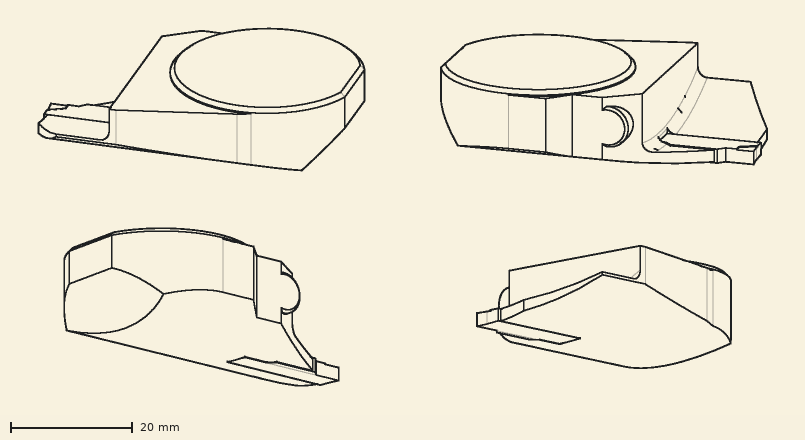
import cadquery as cq
import math

LENGTH = 52.35
WIDTH = 37.0
HEIGHT = 14.0
DISC_RADIUS = 16.0
DISC_X = 37.3
DISC_Y = WIDTH - DISC_RADIUS
DISC_CHAMFER = 0.75

DECK_Z = 13.05
NOSE_X = 0.85
NOSE_LOW_Y = 11.5
NOSE_HIGH_Y = 18.45
FRONT_CORNER_X = 7.45
SIDE_TAPER_START_X = 17.7
SIDE_TAPER_END = (37.15, 4.35)
SIDE_JOIN_X = 39.35
SHOULDER_X = 30.85
LEDGE_Y = 33.55
LEDGE_START_X = 22.2
LEDGE_END_X = 27.35

BELLY_RADIUS = 36.4
BELLY_Z = 0.1
TAIL_BOTTOM_X = 44.85
TAIL_TOP_Z = BELLY_Z + LENGTH - TAIL_BOTTOM_X

WALL_X = 16.55
TRAY_RADIUS = 46.05
TRAY_Z = 2.2
TRAY_FILLET = 1.55

BOSS_X = 21.3
BOSS_Z = 7.95
BOSS_RADIUS = 3.48
BOSS_CHAMFER = 0.45

BLADE_LOW_Y = 16.7
BLADE_HIGH_Y = 21.3
BLADE_END_X = 19.9
BLADE_TOP_Z = 2.4
BLADE_SIDE_Z = 0.3
BLADE_FRONT_X = 0.2
FRONT_BEND_Y = 19.25
LUG_START_X = 4.8
LUG_END_X = 15.15
LUG_HEIGHT = 1.1
RELIEF_END_X = WALL_X - 0.1
CHIP_LENGTH = 2.95
CHIP_SIDE_Y = 19.9
CHIP_POINT_Y = 18.5
CHIP_DEPTH = 0.15


def cylinder_along_x(radius, lowest_z, start_x, end_x):
    """Cylinder centred across the disc, with its lowest line at lowest_z."""
    return (
        cq.Workplane("YZ", origin=(start_x, 0, 0))
        .center(DISC_Y, lowest_z + radius)
        .circle(radius)
        .extrude(end_x - start_x)
    )


def make_disc():
    disc = cq.Workplane("XY").center(DISC_X, DISC_Y).circle(DISC_RADIUS).extrude(HEIGHT)
    beyond_flat = cq.Workplane("XY").box(WIDTH, WIDTH, HEIGHT, centered=False).translate((LENGTH, 0, 0))
    return disc.cut(beyond_flat).faces(">Z").edges().chamfer(DISC_CHAMFER)


def make_deck():
    side_join_y = DISC_Y - math.sqrt(DISC_RADIUS**2 - (SIDE_JOIN_X - DISC_X) ** 2)
    return (
        cq.Workplane("XY")
        .moveTo(NOSE_X, NOSE_HIGH_Y)
        .lineTo(NOSE_X, NOSE_LOW_Y)
        .lineTo(FRONT_CORNER_X, 0)
        .lineTo(SIDE_TAPER_START_X, 0)
        .lineTo(*SIDE_TAPER_END)
        .lineTo(SIDE_JOIN_X, side_join_y)
        .lineTo(DISC_X, DISC_Y)
        .lineTo(DISC_X, WIDTH)
        .lineTo(SHOULDER_X, WIDTH)
        .lineTo(LEDGE_END_X, LEDGE_Y)
        .lineTo(LEDGE_START_X, LEDGE_Y)
        .close()
        .extrude(DECK_Z)
    )


def make_tray_cutter():
    """Cylinder whose rounded end leaves the fillet at the foot of the wall."""
    return cylinder_along_x(TRAY_RADIUS, TRAY_Z, -LENGTH, WALL_X).faces(">X").edges().fillet(TRAY_FILLET)


def make_tail_cutter():
    return (
        cq.Workplane("XZ")
        .polyline([(TAIL_BOTTOM_X, BELLY_Z), (LENGTH, TAIL_TOP_Z), (LENGTH, -HEIGHT), (TAIL_BOTTOM_X, -HEIGHT)])
        .close()
        .extrude(-WIDTH)
    )


def make_boss():
    return (
        cq.Workplane("XZ", origin=(BOSS_X, LEDGE_Y, BOSS_Z))
        .circle(BOSS_RADIUS)
        .extrude(LEDGE_Y - DISC_Y)
        .faces(">Y")
        .edges()
        .chamfer(BOSS_CHAMFER)
    )


def blade_prism(end_x, height):
    lug_y = BLADE_HIGH_Y + LUG_HEIGHT
    outline = [
        (0, BLADE_HIGH_Y),
        (LUG_START_X, BLADE_HIGH_Y),
        (LUG_START_X + LUG_HEIGHT, lug_y),
        (LUG_END_X - LUG_HEIGHT, lug_y),
        (LUG_END_X, BLADE_HIGH_Y),
        (end_x, BLADE_HIGH_Y),
        (end_x, BLADE_LOW_Y),
        (BLADE_FRONT_X, BLADE_LOW_Y),
        (BLADE_FRONT_X, FRONT_BEND_Y),
    ]
    return cq.Workplane("XY").polyline(outline).close().extrude(height)


def make_blade():
    blade = blade_prism(BLADE_END_X, BLADE_TOP_Z)
    sloped_underside = (
        cq.Workplane("YZ")
        .polyline([(BLADE_LOW_Y, 0), (BLADE_HIGH_Y, 0), (BLADE_LOW_Y, BLADE_SIDE_Z)])
        .close()
        .extrude(BLADE_END_X)
    )
    chip_recess = (
        cq.Workplane("XY", origin=(0, 0, BLADE_TOP_Z - CHIP_DEPTH))
        .polyline([
            (0, BLADE_HIGH_Y),
            (CHIP_LENGTH, BLADE_HIGH_Y),
            (CHIP_LENGTH, CHIP_SIDE_Y),
            (BLADE_FRONT_X, CHIP_POINT_Y),
            (0, CHIP_POINT_Y),
        ])
        .close()
        .extrude(CHIP_DEPTH)
    )
    return blade.cut(sloped_underside).cut(chip_recess)


def make_holder():
    belly = cylinder_along_x(BELLY_RADIUS, BELLY_Z, 0, LENGTH)
    blade_pocket = blade_prism(BLADE_END_X, BLADE_TOP_Z)
    fillet_relief = blade_prism(RELIEF_END_X, DECK_Z)
    return (
        make_deck()
        .union(make_disc())
        .cut(make_tray_cutter())
        .union(make_boss())
        .intersect(belly)
        .cut(make_tail_cutter())
        .cut(blade_pocket)
        .cut(fillet_relief)
    )


holder = make_holder()
blade = make_blade()
result = cq.Compound.makeCompound([holder.val(), blade.val()])